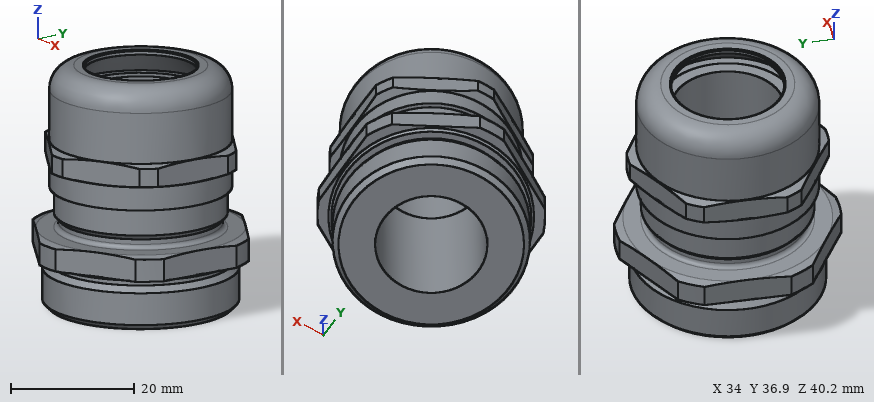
import cadquery as cq
import math

TOTAL_HEIGHT = 40.25
BORE_RADIUS = 9.1

THREAD_RADIUS = 32.0 / 2
THREAD_CHAMFER = 0.95
THREAD_TOP = 6.32
UNDERCUT_RADIUS = 29.95 / 2
UNDERCUT_BOTTOM = THREAD_TOP + THREAD_RADIUS - UNDERCUT_RADIUS

FACE_BOTTOM = 8.5
FACE_RADIUS = 32.45 / 2
FACE_CONE = 0.45
FLANGE_BOTTOM = FACE_BOTTOM + FACE_CONE
FLANGE_TOP = 13.05
FLANGE_FLATS = 34.0
FLANGE_CORNERS = 36.9

NECK_RADIUS = 26.7 / 2
NECK_TOP = 14.65
CAP_THREAD_RADIUS = 28.22 / 2
CAP_THREAD_BOTTOM = 15.5
NECK_FILLET = CAP_THREAD_RADIUS - NECK_RADIUS

CAP_BOTTOM = 19.93
CAP_RADIUS = 29.7 / 2
DOME_RADIUS = 4.0
CAP_HEX_BOTTOM = 23.87
CAP_HEX_TOP = 27.78
CAP_HEX_FLATS = 30.0
CAP_HEX_CORNERS = 33
LIP_RADIUS = 9.18
LIP_CHAMFER = 0.2
LIP_BOTTOM = 39.45

INSERT_TOP = 35.85
SEAL_RADIUS = 11.27
SEAL_BOTTOM = CAP_HEX_BOTTOM
BODY_TOP = CAP_HEX_TOP

HEX_CHAMFER_ANGLE = 15


def cavity_height(radius):
    """Height of the cap's 45 degree inner cone at a radius."""
    return LIP_BOTTOM - (radius - LIP_RADIUS)


def turned(profile):
    """Revolve a closed (radius, height) profile about the Z axis."""
    return profile.close().revolve(360, (0, 0, 0), (0, 1, 0))


def tube(inner_radius, outer_radius, bottom, top):
    ring = cq.Workplane("XY").workplane(offset=bottom).circle(outer_radius).circle(inner_radius)
    return ring.extrude(top - bottom)


def hexagon(flats, corners, bottom, top, chamfer_bottom):
    """Hexagon prism with flats facing +X and -X, rounded corners and conical chamfers."""
    across_points = flats / math.cos(math.radians(30))
    prism = (
        cq.Workplane("XY")
        .workplane(offset=bottom)
        .polygon(6, across_points)
        .extrude(top - bottom)
        .rotate((0, 0, 0), (0, 0, 1), 30)
    )
    flat_radius = flats / 2
    corner_radius = corners / 2
    drop = (corner_radius - flat_radius) * math.tan(math.radians(HEX_CHAMFER_ANGLE))
    envelope = cq.Workplane("XZ").moveTo(0, bottom)
    if chamfer_bottom:
        envelope = envelope.lineTo(flat_radius, bottom).lineTo(corner_radius, bottom + drop)
    else:
        envelope = envelope.lineTo(corner_radius, bottom)
    envelope = envelope.lineTo(corner_radius, top - drop).lineTo(flat_radius, top).lineTo(0, top)
    return prism.intersect(turned(envelope))


def make_body():
    """Gland body with its connection thread, hexagon flange, neck and cap thread."""
    fillet_middle = NECK_FILLET * (1 - math.sqrt(0.5))
    shank = turned(
        cq.Workplane("XZ")
        .moveTo(0, 0)
        .lineTo(THREAD_RADIUS - THREAD_CHAMFER, 0)
        .lineTo(THREAD_RADIUS, THREAD_CHAMFER)
        .lineTo(THREAD_RADIUS, THREAD_TOP)
        .lineTo(UNDERCUT_RADIUS, UNDERCUT_BOTTOM)
        .lineTo(UNDERCUT_RADIUS, FACE_BOTTOM)
        .lineTo(FACE_RADIUS, FACE_BOTTOM)
        .lineTo(FACE_RADIUS + FACE_CONE, FLANGE_BOTTOM)
        .lineTo(CAP_THREAD_RADIUS, FLANGE_BOTTOM)
        .lineTo(CAP_THREAD_RADIUS, FLANGE_TOP)
        .threePointArc(
            (NECK_RADIUS + fillet_middle, FLANGE_TOP + fillet_middle),
            (NECK_RADIUS, FLANGE_TOP + NECK_FILLET),
        )
        .lineTo(NECK_RADIUS, NECK_TOP)
        .lineTo(CAP_THREAD_RADIUS, CAP_THREAD_BOTTOM)
        .lineTo(CAP_THREAD_RADIUS, BODY_TOP)
        .lineTo(0, BODY_TOP)
    )
    flange = hexagon(FLANGE_FLATS, FLANGE_CORNERS, FLANGE_BOTTOM, FLANGE_TOP, chamfer_bottom=False)
    bore = cq.Workplane("XY").circle(BORE_RADIUS).extrude(SEAL_BOTTOM)
    seal_recess = (
        cq.Workplane("XY").workplane(offset=SEAL_BOTTOM).circle(SEAL_RADIUS).extrude(BODY_TOP - SEAL_BOTTOM)
    )
    return shank.union(flange).cut(bore).cut(seal_recess)


def make_cap():
    """Domed cap nut with a hexagon band and a cavity that narrows to the lip."""
    dome_middle = DOME_RADIUS * (1 - math.sqrt(0.5))
    shell = turned(
        cq.Workplane("XZ")
        .moveTo(0, CAP_BOTTOM)
        .lineTo(CAP_RADIUS, CAP_BOTTOM)
        .lineTo(CAP_RADIUS, TOTAL_HEIGHT - DOME_RADIUS)
        .threePointArc(
            (CAP_RADIUS - dome_middle, TOTAL_HEIGHT - dome_middle),
            (CAP_RADIUS - DOME_RADIUS, TOTAL_HEIGHT),
        )
        .lineTo(0, TOTAL_HEIGHT)
    )
    band = hexagon(CAP_HEX_FLATS, CAP_HEX_CORNERS, CAP_HEX_BOTTOM, CAP_HEX_TOP, chamfer_bottom=True)
    cavity = turned(
        cq.Workplane("XZ")
        .moveTo(0, CAP_BOTTOM)
        .lineTo(CAP_THREAD_RADIUS, CAP_BOTTOM)
        .lineTo(CAP_THREAD_RADIUS, cavity_height(CAP_THREAD_RADIUS))
        .lineTo(LIP_RADIUS, LIP_BOTTOM)
        .lineTo(LIP_RADIUS, TOTAL_HEIGHT - LIP_CHAMFER)
        .lineTo(LIP_RADIUS + LIP_CHAMFER, TOTAL_HEIGHT)
        .lineTo(0, TOTAL_HEIGHT)
    )
    return shell.union(band).cut(cavity)


def make_clamping_ring():
    """Ring around the seal, bevelled to bear on the inner cone of the cap."""
    top_radius = LIP_RADIUS + LIP_BOTTOM - INSERT_TOP
    return turned(
        cq.Workplane("XZ")
        .moveTo(SEAL_RADIUS, BODY_TOP)
        .lineTo(CAP_THREAD_RADIUS, BODY_TOP)
        .lineTo(CAP_THREAD_RADIUS, cavity_height(CAP_THREAD_RADIUS))
        .lineTo(top_radius, INSERT_TOP)
        .lineTo(SEAL_RADIUS, INSERT_TOP)
    )


body = make_body()
cap = make_cap()
clamping_ring = make_clamping_ring()
seal = tube(BORE_RADIUS, SEAL_RADIUS, SEAL_BOTTOM, INSERT_TOP)

result = cq.Compound.makeCompound([
    body.solids().val(),
    cap.solids().val(),
    clamping_ring.val(),
    seal.val(),
])